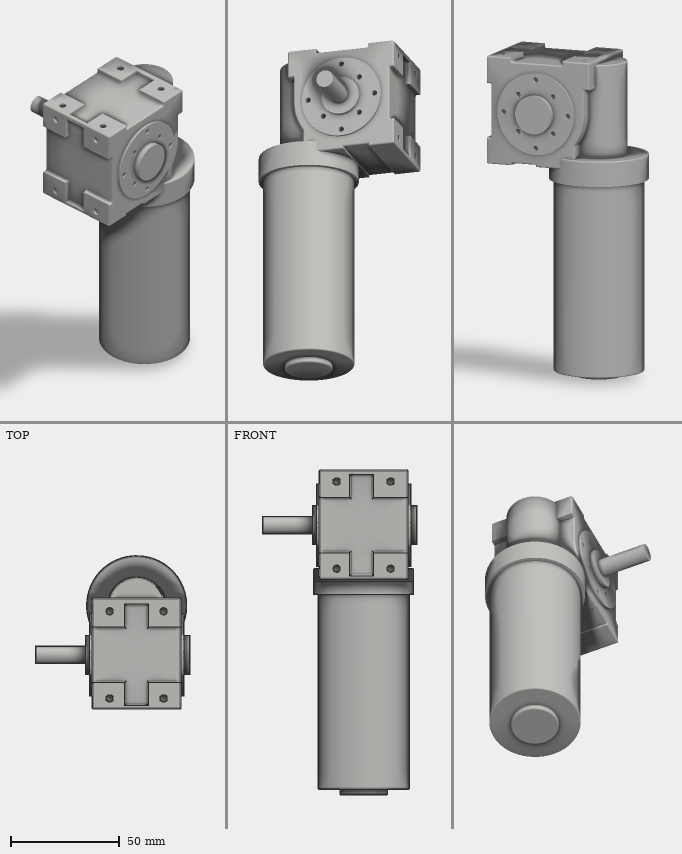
import cadquery as cq
import math


CASE_HALF_WIDTH = 20.5
CASE_FRONT = 25.0
CASE_TOP = 25.4
CASE_BOTTOM = 25.0
CASE_BACK = 26.2
EDGE_ROUND = 0.7

TOP_FLOOR = 23.3
FRONT_FLOOR = 22.7
BOTTOM_FLOOR = 23.9
REAR_RADIUS = 23.3
BAND_HALF_HEIGHT = 12.7
ARM_HALF_WIDTH = 5.5
FRONT_ARM_SHIFT = -0.9
ARM_REACH = 23.3
FLOOR_ROUND = 0.7
LOWER_WALL_BACK = 18.8

PAD_HOLE_DIAMETER = 3.3
PAD_HOLE_DEPTH = 7.5
PAD_HOLE_X = 12.4
PAD_HOLE_OFFSET = 20.0
DRILL_POINT_ANGLE = 118

DISC_DIAMETER = 38.0
DISC_HALF_SPAN = 21.7
DISC_HOLE_DIAMETER = 2.5
DISC_HOLE_DEPTH = 6.0
DISC_HOLE_RADII = (16.0, 12.3)
HUB_DIAMETER = 18.0
HUB_LEFT = 23.5
HUB_RIGHT = 24.5
SHAFT_DIAMETER = 8.0
SHAFT_TIP = 46.5

WORM_AXIS_Y = 22.5
TOWER_DIAMETER = 26.3
TOWER_TOP = TOP_FLOOR
TOWER_ROOT_ROUND = 0.5
FLANGE_DIAMETER = 46.0
FLANGE_TOP = -20.0
JOINT_Z = -26.0
RIM_ROUND = 0.6

MOTOR_FLANGE_BOTTOM = -31.8
MOTOR_DIAMETER = 42.0
MOTOR_BOTTOM = -121.5
BOSS_DIAMETER = 22.0
BOSS_BOTTOM = -124.1
BOSS_ROUND = 0.7


def upright_cylinder(diameter, bottom, top):
    """Cylinder on the worm axis between two heights."""
    base = cq.Workplane("XY", origin=(0, WORM_AXIS_Y, bottom))
    return base.circle(diameter / 2).extrude(top - bottom)


def cross_cylinder(diameter, left, right):
    """Cylinder on the output shaft axis between two X positions."""
    return cq.Workplane("YZ", origin=(left, 0, 0)).circle(diameter / 2).extrude(right - left)


def case_block():
    """Side outline of the case, with the rear wall following the worm wheel."""
    arc_end_z = -math.sqrt(REAR_RADIUS**2 - LOWER_WALL_BACK**2)
    mid_angle = math.atan2(arc_end_z, LOWER_WALL_BACK) / 2
    arc_middle = (REAR_RADIUS * math.cos(mid_angle), REAR_RADIUS * math.sin(mid_angle))
    return (
        cq.Workplane("YZ", origin=(-CASE_HALF_WIDTH, 0, 0))
        .moveTo(-CASE_FRONT, -CASE_BOTTOM)
        .lineTo(-CASE_FRONT, CASE_TOP)
        .lineTo(CASE_BACK, CASE_TOP)
        .lineTo(CASE_BACK, BAND_HALF_HEIGHT)
        .lineTo(REAR_RADIUS, BAND_HALF_HEIGHT)
        .lineTo(REAR_RADIUS, 0)
        .threePointArc(arc_middle, (LOWER_WALL_BACK, arc_end_z))
        .lineTo(LOWER_WALL_BACK, -CASE_BOTTOM)
        .close()
        .extrude(2 * CASE_HALF_WIDTH)
    )


def cross_recess(floor, arm_shift=0):
    """Cutter for a recess in the top face: a full-width band with two arms."""
    depth = CASE_TOP - FRONT_FLOOR
    band = cq.Workplane("XY").rect(4 * CASE_HALF_WIDTH, 2 * BAND_HALF_HEIGHT).extrude(depth)
    arms = cq.Workplane("XY").center(arm_shift, 0)
    arms = arms.rect(2 * ARM_HALF_WIDTH, 2 * ARM_REACH).extrude(depth)
    cutter = band.union(arms).faces("<Z").edges().fillet(FLOOR_ROUND)
    return cutter.translate((0, 0, floor))


def bottom_recess():
    """Cutter for the shallow full-width band under the case, from the front pads to the flange."""
    start = -BAND_HALF_HEIGHT
    end = WORM_AXIS_Y - FLANGE_DIAMETER / 2
    band = cq.Workplane("XY", origin=(0, (start + end) / 2, -BOTTOM_FLOOR))
    return band.rect(4 * CASE_HALF_WIDTH, end - start).extrude(BOTTOM_FLOOR - CASE_BOTTOM)


def drilled_hole(diameter, depth):
    """Cutter for a blind hole with a drill point, going down from the origin."""
    radius = diameter / 2
    point = radius / math.tan(math.radians(DRILL_POINT_ANGLE / 2))
    outline = [(0, 0), (radius, 0), (radius, -depth), (0, -depth - point)]
    return cq.Workplane("XZ").polyline(outline).close().revolve(360, (0, 0), (0, 1))


def pad_holes(face_height):
    """Cutter for the four mounting holes of the top face."""
    points = [(x * PAD_HOLE_X, y * PAD_HOLE_OFFSET) for x in (-1, 1) for y in (-1, 1)]
    hole = drilled_hole(PAD_HOLE_DIAMETER, PAD_HOLE_DEPTH).val()
    return cq.Workplane("XY", origin=(0, 0, face_height)).pushPoints(points).eachpoint(hole, True)


def front_facing(cutter):
    """Turn a cutter made for the top face onto the front face."""
    return cutter.rotate((0, 0, 0), (1, 0, 0), 90)


def disc_holes():
    """Cutter for two sets of four holes in each side disc."""
    cutter = cq.Workplane("XY")
    hole = drilled_hole(DISC_HOLE_DIAMETER, DISC_HOLE_DEPTH)
    for side in (-1, 1):
        side_hole = hole.rotate((0, 0, 0), (0, 1, 0), 90 * side)
        for index in range(8):
            radius = DISC_HOLE_RADII[index % 2]
            angle = math.radians(45 * index)
            y = radius * math.cos(angle)
            z = radius * math.sin(angle)
            cutter.add(side_hole.translate((side * DISC_HALF_SPAN, y, z)))
    return cutter.combine()


def make_worm_housing():
    """Worm tower standing on the round flange."""
    tower = upright_cylinder(TOWER_DIAMETER, FLANGE_TOP, TOWER_TOP)
    flange = upright_cylinder(FLANGE_DIAMETER, JOINT_Z, FLANGE_TOP)
    flange = flange.faces(">Z").edges().fillet(RIM_ROUND)
    housing = flange.union(tower).faces(">Z").edges().fillet(RIM_ROUND)
    flange_top_face = housing.faces(cq.selectors.NearestToPointSelector((0, WORM_AXIS_Y, FLANGE_TOP)))
    tower_root = flange_top_face.edges(cq.selectors.RadiusNthSelector(0))
    return tower_root.fillet(TOWER_ROOT_ROUND)


def make_gearbox():
    case = case_block()
    case = case.edges("|X").edges(">Z").edges(">Y").fillet(EDGE_ROUND)
    case = case.edges("|X").edges("<Y").fillet(EDGE_ROUND)
    case = case.cut(bottom_recess())
    case = case.cut(cross_recess(TOP_FLOOR))
    case = case.cut(front_facing(cross_recess(FRONT_FLOOR, FRONT_ARM_SHIFT)))
    case = case.faces("<X or >X").edges().fillet(EDGE_ROUND)

    gearbox = (
        case.union(make_worm_housing())
        .union(cross_cylinder(DISC_DIAMETER, -DISC_HALF_SPAN, DISC_HALF_SPAN))
        .union(cross_cylinder(HUB_DIAMETER, -HUB_LEFT, HUB_RIGHT))
        .union(cross_cylinder(SHAFT_DIAMETER, -SHAFT_TIP, 0))
    )
    gearbox = gearbox.cut(pad_holes(CASE_TOP))
    gearbox = gearbox.cut(front_facing(pad_holes(CASE_FRONT)))
    return gearbox.cut(disc_holes())


def make_motor():
    flange = upright_cylinder(FLANGE_DIAMETER, MOTOR_FLANGE_BOTTOM, JOINT_Z)
    barrel = upright_cylinder(MOTOR_DIAMETER, MOTOR_BOTTOM, MOTOR_FLANGE_BOTTOM)
    barrel = barrel.faces("<Z").edges().fillet(RIM_ROUND)
    boss = upright_cylinder(BOSS_DIAMETER, BOSS_BOTTOM, MOTOR_BOTTOM)
    boss = boss.faces("<Z").edges().fillet(BOSS_ROUND)
    return flange.union(barrel).union(boss)


gearbox = make_gearbox()
motor = make_motor()
result = cq.Compound.makeCompound([gearbox.val(), motor.val()])